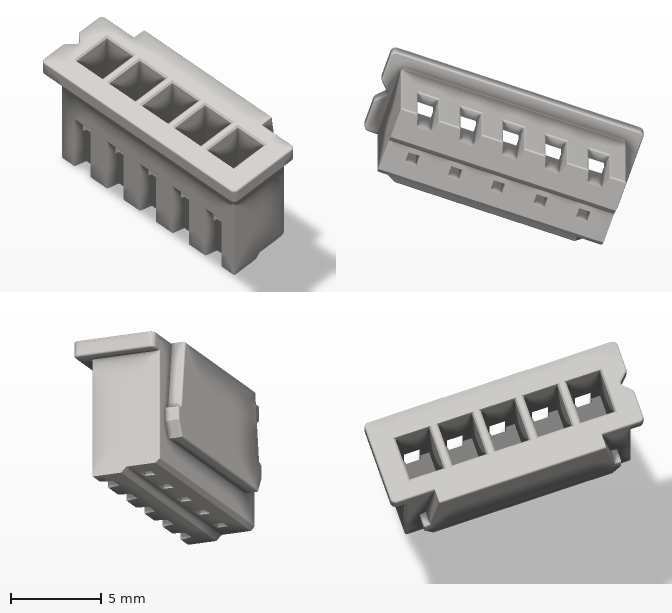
import cadquery as cq
import math


FLANGE_LENGTH = 14.8
FLANGE_DEPTH = 4.9
FLANGE_THICKNESS = 0.93
HEIGHT = 7.75
BODY_LENGTH = 13.2
BODY_DEPTH = 4.1
FLANGE_BOTTOM = HEIGHT - FLANGE_THICKNESS

EDGE_RADIUS = 0.1
CORNER_RADIUS = 0.3

STEP_HEIGHT = 0.31
STEP_REAR_DEPTH = 2.01
REAR_CHAMFER = 0.24

NOTCH_DEPTH = 0.6
NOTCH_TIP_RADIUS = 0.15

RIB_PROJECTION = 0.8
RIB_TOP_HALF = 4.88
RIB_WAIST_HALF = 5.42
RIB_LATCH_HALF = 5.77
RIB_BOTTOM_HALF = 5.28
RIB_WAIST_Z = 3.88
RIB_LATCH_TOP_Z = 3.73
RIB_LATCH_BOTTOM_Z = 2.96
RIB_BOTTOM_Z = 2.07
RIB_ROOT = 0.3

CONTACT_COUNT = 5
CONTACT_PITCH = 2.5
CONTACT_CENTRES = [(i - (CONTACT_COUNT - 1) / 2) * CONTACT_PITCH for i in range(CONTACT_COUNT)]

CAVITY_WIDTH = 2.0
CAVITY_REAR = -1.05
CAVITY_FRONT = -3.54
CAVITY_FLOOR = 2.5
LEAD_IN = 0.1
FRONT_LEAD_IN = 0.03

OPENING_WIDTH = 0.67
OPENING_REAR = -1.08
OPENING_FRONT = -1.7

SLOT_DEPTH = 0.78
SLOT_INNER_WIDTH = 0.83
SLOT_TAPER = 15.0
SLOT_TOP = 3.73


def make_flange():
    """Top plate with a V notch in its -X end and rounded edges."""
    half = FLANGE_LENGTH / 2
    middle = -FLANGE_DEPTH / 2
    plate = (
        cq.Workplane("XY", origin=(0, 0, FLANGE_BOTTOM))
        .moveTo(-half, 0)
        .lineTo(half, 0)
        .lineTo(half, -FLANGE_DEPTH)
        .lineTo(-half, -FLANGE_DEPTH)
        .lineTo(-half, middle - NOTCH_DEPTH)
        .lineTo(-half + NOTCH_DEPTH, middle)
        .lineTo(-half, middle + NOTCH_DEPTH)
        .close()
        .extrude(FLANGE_THICKNESS)
    )
    notch_tip = cq.selectors.NearestToPointSelector((-half + NOTCH_DEPTH, middle, HEIGHT))
    plate = plate.edges("|Z").edges(notch_tip).fillet(NOTCH_TIP_RADIUS)
    plate = plate.edges("|Z and (<X or >X)").fillet(CORNER_RADIUS)
    return plate.faces("<Z or >Z").edges().fillet(EDGE_RADIUS)


def make_body():
    """Housing block with a stepped underside, front slots and rounded front and rear edges."""
    block = (
        cq.Workplane("YZ", origin=(-BODY_LENGTH / 2, 0, 0))
        .moveTo(-BODY_DEPTH, 0)
        .lineTo(-STEP_REAR_DEPTH - STEP_HEIGHT, 0)
        .lineTo(-STEP_REAR_DEPTH, STEP_HEIGHT)
        .lineTo(-REAR_CHAMFER, STEP_HEIGHT)
        .lineTo(0, STEP_HEIGHT + REAR_CHAMFER)
        .lineTo(0, HEIGHT - EDGE_RADIUS)
        .lineTo(-BODY_DEPTH, HEIGHT - EDGE_RADIUS)
        .close()
        .extrude(BODY_LENGTH)
    )
    for centre in CONTACT_CENTRES:
        block = block.cut(make_slot(centre))
    front_rims = block.faces("<Y").edges("not >Z")
    rear_corners = block.faces(">Y").edges("|Z")
    return block.newObject(front_rims.vals() + rear_corners.vals()).fillet(EDGE_RADIUS)


def make_root_fillet():
    """Concave fillet joining the front wall to the underside of the flange."""
    front = -BODY_DEPTH
    length = BODY_LENGTH - 2 * EDGE_RADIUS
    sag = EDGE_RADIUS * (1 - math.sqrt(0.5))
    return (
        cq.Workplane("YZ", origin=(-length / 2, 0, 0))
        .moveTo(front, FLANGE_BOTTOM - EDGE_RADIUS)
        .threePointArc((front - sag, FLANGE_BOTTOM - sag), (front - EDGE_RADIUS, FLANGE_BOTTOM))
        .lineTo(front - EDGE_RADIUS, FLANGE_BOTTOM + EDGE_RADIUS)
        .lineTo(front + EDGE_RADIUS, FLANGE_BOTTOM + EDGE_RADIUS)
        .lineTo(front + EDGE_RADIUS, FLANGE_BOTTOM - EDGE_RADIUS)
        .close()
        .extrude(length)
    )


def make_rib():
    """Locking rib with flared flanks and a latch nose on each side."""
    right_side = [
        (RIB_TOP_HALF, HEIGHT),
        (RIB_WAIST_HALF, RIB_WAIST_Z),
        (RIB_LATCH_HALF, RIB_LATCH_TOP_Z),
        (RIB_LATCH_HALF, RIB_LATCH_BOTTOM_Z),
        (RIB_BOTTOM_HALF, RIB_BOTTOM_Z),
    ]
    left_side = [(-x, z) for x, z in reversed(right_side)]
    rib = (
        cq.Workplane("XZ", origin=(0, RIB_PROJECTION, 0))
        .polyline(right_side + left_side)
        .close()
        .extrude(RIB_PROJECTION + RIB_ROOT)
    )
    return rib.faces(">Y").edges().fillet(EDGE_RADIUS)


def make_cavity(x):
    """Contact cavity with a chamfered mouth and a square opening through its floor."""
    cavity = cq.Workplane("XY").box(
        CAVITY_WIDTH, CAVITY_REAR - CAVITY_FRONT, HEIGHT - CAVITY_FLOOR, centered=(True, False, False)
    ).translate((x, CAVITY_FRONT, CAVITY_FLOOR))
    mouth_depth = CAVITY_REAR - CAVITY_FRONT + LEAD_IN + FRONT_LEAD_IN
    mouth_middle = (CAVITY_REAR + LEAD_IN + CAVITY_FRONT - FRONT_LEAD_IN) / 2
    mouth = (
        cq.Workplane("XY", origin=(x, mouth_middle, HEIGHT))
        .rect(CAVITY_WIDTH + 2 * LEAD_IN, mouth_depth)
        .workplane(offset=-LEAD_IN)
        .center(0, (CAVITY_REAR + CAVITY_FRONT) / 2 - mouth_middle)
        .rect(CAVITY_WIDTH, CAVITY_REAR - CAVITY_FRONT)
        .loft(ruled=True)
    )
    opening = cq.Workplane("XY").box(
        OPENING_WIDTH, OPENING_REAR - OPENING_FRONT, HEIGHT, centered=(True, False, False)
    ).translate((x, OPENING_FRONT, 0))
    return cavity.union(mouth).union(opening)


def make_slot(x):
    """Front wall slot, open at the underside and widening towards the front."""
    inner_half = SLOT_INNER_WIDTH / 2
    outer_half = inner_half + SLOT_DEPTH * math.tan(math.radians(SLOT_TAPER))
    return (
        cq.Workplane("XY")
        .moveTo(x - outer_half, -BODY_DEPTH)
        .lineTo(x + outer_half, -BODY_DEPTH)
        .lineTo(x + inner_half, SLOT_DEPTH - BODY_DEPTH)
        .lineTo(x - inner_half, SLOT_DEPTH - BODY_DEPTH)
        .close()
        .extrude(SLOT_TOP)
    )


result = make_body().union(make_flange()).union(make_root_fillet()).union(make_rib())
for centre in CONTACT_CENTRES:
    result = result.cut(make_cavity(centre))